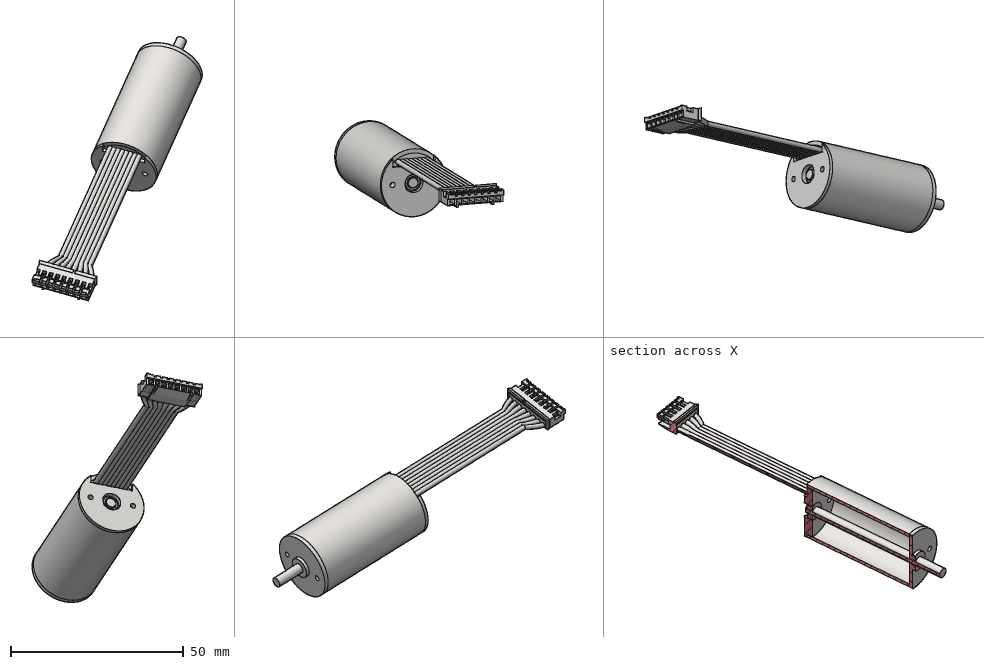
import cadquery as cq


motor_diameter = 20.0
motor_length = 40.0
tube_bore = 17.5
front_plate_thickness = 1.2
rear_plate_thickness = 1.0
spigot_length = 2.1
pilot_diameter = 6.2
pilot_height = 1.0
mount_hole_diameter = 1.6
mount_hole_offset = 6.6

shaft_diameter = 3.0
shaft_reach = 10.0
bearing_diameter = 5.5
bearing_outer_chamfer = 0.5
bearing_bore_chamfer = 0.2
shaft_stub = 0.5

cable_notch_width = 12.9
cable_notch_floor = 5.2

motor_rear = -motor_length
tube_front = -front_plate_thickness
tube_rear = motor_rear + rear_plate_thickness
spigot_front = tube_rear + spigot_length

wire_count = 8
straight_wire = 4
wire_diameter = 1.6
ribbon_width = 10.5
ribbon_pitch = (ribbon_width - wire_diameter) / (wire_count - 1)
cable_height = 6.5
ribbon_end = -81.8
fan_mid_run = 0.5
fan_mid_shift = 0.6

total_length = 104.1
contact_row_width = 14.2
contact_pitch = contact_row_width / (wire_count - 1)
connector_tip = shaft_reach - total_length
lip_reach = 0.6
connector_front = connector_tip + lip_reach
connector_back = -87.0
connector_x = (straight_wire - (wire_count - 1) / 2) * (ribbon_pitch - contact_pitch)

body_width = 17.1
body_bottom = 5.4
body_top = 9.0
flange_width = 17.7
flange_thickness = 0.9
flange_top = 9.4
flange_taper_angle = 18
wire_pad_width = 16.0
wire_pad_thickness = 0.3
wire_pad_bottom = 5.7
wire_pad_top = 8.4
key_slot_width = 0.6
key_slot_depth = 0.4
key_slot_x = 1.7
rail_width = 11.5
rail_height = 0.6
rail_end_width = 0.6
rail_ramp_run = 3.1

latch_slot_back = -89.9
latch_slot_front = -92.2
latch_slot_floor = 7.5
tongue_width = 0.9
tongue_length = 1.9
tongue_thickness = 0.9
lip_height = 1.5
lip_groove_width = 0.6
lip_groove_depth = 0.7
lip_step_width = 15.8
lip_step_depth = 0.2
cavity_width = 1.5
cavity_height = 1.5
cavity_bottom = 5.7
cavity_depth = 4.2


def cylinder_y(diameter, y_from, y_to, x=0.0, z=0.0):
    """Cylinder along Y between two Y positions."""
    section = cq.Workplane("XZ", origin=(x, y_from, z)).circle(diameter / 2)
    return section.extrude(y_from - y_to)


def block(x_center, width, y_from, y_to, z_from, z_to):
    """Axis-aligned block, centred on x_center."""
    box = cq.Workplane("XY").box(width, abs(y_to - y_from), z_to - z_from)
    return box.translate((x_center, (y_from + y_to) / 2, (z_from + z_to) / 2))


def drill_mount_holes(plate):
    for x in (-mount_hole_offset, mount_hole_offset):
        plate = plate.cut(cylinder_y(mount_hole_diameter, 0, motor_rear, x))
    return plate


def row_positions(pitch, x_center=0.0):
    """X positions of the wires, or of their contacts."""
    return [x_center + (i - (wire_count - 1) / 2) * pitch for i in range(wire_count)]


def make_housing():
    tube = cylinder_y(motor_diameter, tube_front, tube_rear)
    return tube.cut(cylinder_y(tube_bore, tube_front, tube_rear))


def make_front_plate():
    plate = cylinder_y(motor_diameter, tube_front, 0)
    plate = plate.union(cylinder_y(pilot_diameter, 0, pilot_height))
    plate = plate.cut(cylinder_y(shaft_diameter, tube_front, pilot_height))
    return drill_mount_holes(plate)


def make_rear_plate():
    plate = cylinder_y(motor_diameter, motor_rear, tube_rear)
    notch = block(0, cable_notch_width, motor_rear, tube_rear, cable_notch_floor, motor_diameter / 2)
    plate = plate.cut(notch)
    plate = plate.union(cylinder_y(tube_bore, tube_rear, spigot_front))
    plate = plate.cut(cylinder_y(bearing_diameter, motor_rear, spigot_front))
    return drill_mount_holes(plate)


def make_bearing():
    ring = cylinder_y(bearing_diameter, tube_rear, spigot_front)
    ring = ring.faces("<Y").edges().chamfer(bearing_outer_chamfer)
    ring = ring.cut(cylinder_y(shaft_diameter, tube_rear, spigot_front))
    bore_edge = cq.selectors.RadiusNthSelector(0)
    return ring.faces("<Y").edges(bore_edge).chamfer(bearing_bore_chamfer)


def make_shaft():
    return cylinder_y(shaft_diameter, tube_rear - shaft_stub, shaft_reach)


def make_fan_wire(x_ribbon, x_contact, y_contact):
    """Gently curved wire between the ribbon's end and the connector."""
    stations = (
        (x_ribbon, ribbon_end),
        (
            x_ribbon + fan_mid_shift * (x_contact - x_ribbon),
            ribbon_end + fan_mid_run * (y_contact - ribbon_end),
        ),
        (x_contact, y_contact),
    )
    sections = [
        cq.Wire.makeCircle(wire_diameter / 2, cq.Vector(x, y, cable_height), cq.Vector(0, -1, 0))
        for x, y in stations
    ]
    return cq.Workplane(cq.Solid.makeLoft(sections))


def make_cable():
    y_contact = connector_back + wire_pad_thickness
    cable = None
    contacts = row_positions(contact_pitch, connector_x)
    for i, x in enumerate(row_positions(ribbon_pitch)):
        if i == straight_wire:
            wire = cylinder_y(wire_diameter, tube_rear, y_contact, x, cable_height)
        else:
            wire = cylinder_y(wire_diameter, tube_rear, ribbon_end, x, cable_height)
            wire = wire.union(make_fan_wire(x, contacts[i], y_contact))
        cable = wire if cable is None else cable.union(wire)
    return cable


def make_flange():
    """Flange around the connector's back edge, tapering towards the front."""
    flange_height = flange_top - body_bottom
    return (
        cq.Workplane("XZ", origin=(connector_x, connector_back, body_bottom + flange_height / 2))
        .rect(flange_width, flange_height)
        .extrude(flange_thickness, taper=flange_taper_angle)
    )


def make_rail():
    """Rail under the connector: two straight end ribs, and a middle that ramps away at the front."""
    rail_bottom = body_bottom - rail_height
    rail = (
        cq.Workplane("YZ", origin=(connector_x - rail_width / 2, 0, 0))
        .moveTo(connector_back, body_bottom)
        .lineTo(connector_back, rail_bottom)
        .lineTo(connector_front + rail_ramp_run, rail_bottom)
        .lineTo(connector_front, body_bottom)
        .close()
        .extrude(rail_width)
    )
    rib_offset = (rail_width - rail_end_width) / 2
    for x in (connector_x - rib_offset, connector_x + rib_offset):
        rail = rail.union(
            block(x, rail_end_width, connector_back, connector_front, rail_bottom, body_bottom)
        )
    return rail


def make_front_lip():
    """Overhanging lip along the connector's front top edge, with a shallow step in its top."""
    lip_bottom = body_top - lip_height
    lip = block(connector_x, body_width, connector_front, connector_tip, lip_bottom, body_top)
    step_floor = body_top - lip_step_depth
    return lip.cut(
        block(connector_x, lip_step_width, connector_front, connector_tip, step_floor, body_top)
    )


def add_contact_details(body):
    """Cavity, window and latch tongue of each contact, and the grooves between contacts."""
    contacts = row_positions(contact_pitch, connector_x)
    cavity_end = connector_front + cavity_depth
    cavity_top = cavity_bottom + cavity_height
    tongue_tip = latch_slot_back - tongue_length
    tongue_bottom = body_top - tongue_thickness
    for x in contacts:
        body = body.cut(
            block(x, cavity_width, connector_front, cavity_end, cavity_bottom, cavity_top)
        )
        body = body.cut(
            block(x, cavity_width, latch_slot_back, tongue_tip, cavity_top, latch_slot_floor)
        )
        body = body.union(block(x, tongue_width, latch_slot_back, tongue_tip, tongue_bottom, body_top))

    groove_floor = body_top - lip_groove_depth
    for x in contacts[:-1]:
        groove_x = x + contact_pitch / 2
        body = body.cut(
            block(groove_x, lip_groove_width, latch_slot_front, connector_tip, groove_floor, body_top)
        )
    return body


def make_connector():
    body = block(connector_x, body_width, connector_back, connector_front, body_bottom, body_top)
    flange_front = connector_back - flange_thickness
    body = body.union(make_flange())
    pad_back = connector_back + wire_pad_thickness
    body = body.union(
        block(connector_x, wire_pad_width, pad_back, connector_back, wire_pad_bottom, wire_pad_top)
    )
    body = body.union(make_rail())
    key_floor = flange_top - key_slot_depth
    body = body.cut(
        block(key_slot_x, key_slot_width, connector_back, flange_front, key_floor, flange_top)
    )
    body = body.cut(
        block(connector_x, body_width, latch_slot_back, latch_slot_front, latch_slot_floor, body_top)
    )

    body = body.union(make_front_lip())
    return add_contact_details(body)


housing = make_housing()
front_plate = make_front_plate()
rear_plate = make_rear_plate()
bearing = make_bearing()
shaft = make_shaft()
cable = make_cable()
connector = make_connector()

bodies = [housing, front_plate, rear_plate, bearing, shaft, cable, connector]
result = cq.Compound.makeCompound([body.val() for body in bodies])